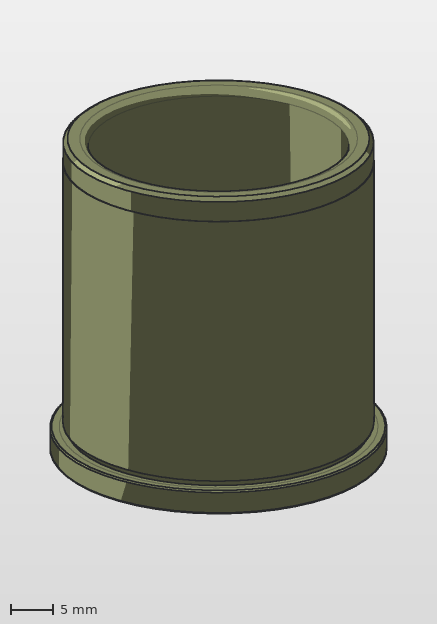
import cadquery as cq

height = 40.0
flange_radius = 20.0
flange_height = 3.0
flange_chamfer = 0.2
barrel_radius = 18.5
bore_radius = 15.5
bore_mouth_fillet = 1.0

lead_length = 3.0
lead_radius = barrel_radius - 0.05
lead_chamfer_width = 0.5
lead_chamfer_height = 0.5

relief_depth = 0.5
relief_barrel_length = 0.65
relief_outer_radius = 18.9
relief_flange_depth = 0.1

relief_radius = barrel_radius - relief_depth
relief_floor = flange_height - relief_flange_depth
lead_start = height - lead_length

half_section = (
    cq.Workplane("XZ")
    .moveTo(bore_radius, 0)
    .lineTo(flange_radius - flange_chamfer, 0)
    .lineTo(flange_radius, flange_chamfer)
    .lineTo(flange_radius, flange_height - flange_chamfer)
    .lineTo(flange_radius - flange_chamfer, flange_height)
    .lineTo(relief_outer_radius, flange_height)
    .lineTo(relief_radius, relief_floor)
    .lineTo(barrel_radius, flange_height + relief_barrel_length)
    .lineTo(barrel_radius, lead_start)
    .lineTo(lead_radius, lead_start)
    .lineTo(lead_radius, height - lead_chamfer_height)
    .lineTo(lead_radius - lead_chamfer_width, height)
    .lineTo(bore_radius + bore_mouth_fillet, height)
    .radiusArc((bore_radius, height - bore_mouth_fillet), -bore_mouth_fillet)
    .close()
)

result = half_section.revolve(360, (0, 0, 0), (0, 1, 0))